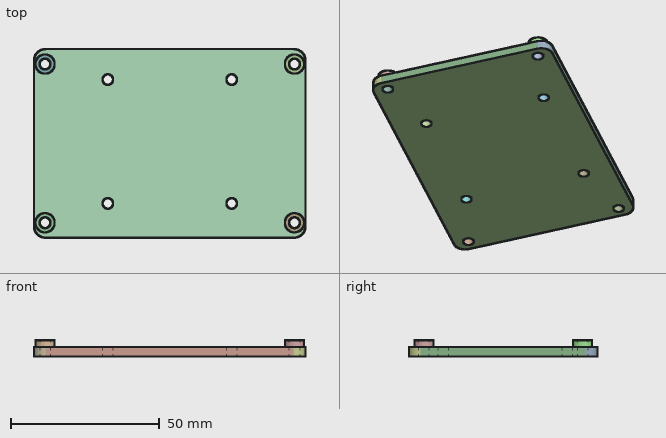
import cadquery as cq

length = 91.4
width = 63.5
total_height = 5.6
plate_thickness = 3.3
corner_radius = 3.9

spacer_height = total_height - plate_thickness
spacer_diameter = 6.5
spacer_hole_diameter = 3.6
spacer_pitch_x = 83.9
spacer_pitch_y = 53.4

mount_hole_diameter = 3.5
mount_pitch = 41.7
mount_offset_y = 0.6


def make_plate():
    """Flat plate with rounded vertical corners, bottom face on Z = 0."""
    plate = cq.Workplane("XY").box(length, width, plate_thickness, centered=(True, True, False))
    return plate.edges("|Z").fillet(corner_radius)


def cylinders(diameter, pitch_x, pitch_y, bottom, height, offset_y=0):
    """Four upright cylinders at the corners of a rectangle."""
    return (
        cq.Workplane("XY", origin=(0, offset_y, bottom))
        .rarray(pitch_x, pitch_y, 2, 2)
        .circle(diameter / 2)
        .extrude(height)
    )


spacers = cylinders(spacer_diameter, spacer_pitch_x, spacer_pitch_y, plate_thickness, spacer_height)
spacer_holes = cylinders(spacer_hole_diameter, spacer_pitch_x, spacer_pitch_y, 0, total_height)
mount_holes = cylinders(
    mount_hole_diameter, mount_pitch, mount_pitch, 0, plate_thickness, mount_offset_y
)

result = make_plate().union(spacers).cut(spacer_holes).cut(mount_holes)